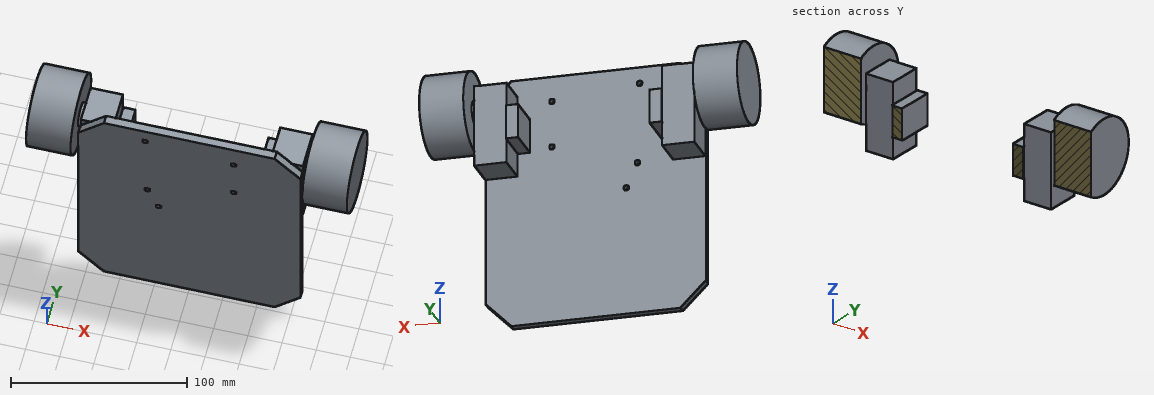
import cadquery as cq

LEFT, RIGHT = -1, 1

overall_width = 187.8
wheel_diameter = 48.0
wheel_width = 26.1
hub_diameter = 13.9
wheel_outer_x = overall_width / 2
wheel_inner_x = wheel_outer_x - wheel_width

plate_width = 130.0
plate_height = 150.0
plate_thickness = 5.0
plate_corner = 15.0
plate_bottom_z = -127.9
plate_back_y = -12.2
plate_front_y = plate_back_y - plate_thickness
plate_center_z = plate_bottom_z + plate_height / 2

hole_diameter = 3.0
hole_centers = [(-26.0, 12.4), (26.0, 7.1), (26.0, -20.7), (-24.6, -36.0), (-18.0, -50.7)]

motor_outer_x = plate_width / 2
motor_length = 19.0
motor_depth = 22.5
motor_top_z = 11.6
motor_height = 48.6
motor_center_z = motor_top_z - motor_height / 2
motor_inner_x = motor_outer_x - motor_length
mount_length = 7.1
mount_height = 20.3
mount_depth = -2 * plate_back_y
mount_inner_x = motor_inner_x - mount_length


def block(side, inner_x, outer_x, depth, height):
    """Box centred on Y = 0 at the motor's mid height, on one side of the assembly."""
    center_x = side * (inner_x + outer_x) / 2
    return (
        cq.Workplane("XY")
        .box(outer_x - inner_x, depth, height)
        .translate((center_x, 0, motor_center_z))
    )


def disc(side, inner_x, outer_x, diameter):
    """Cylinder on the wheel axis, on one side of the assembly."""
    return (
        cq.Workplane("YZ", origin=(side * inner_x, 0, 0))
        .circle(diameter / 2)
        .extrude(side * (outer_x - inner_x))
    )


def make_plate():
    plate = (
        cq.Workplane("XY")
        .box(plate_width, plate_thickness, plate_height)
        .edges("|Y")
        .chamfer(plate_corner)
        .translate((0, plate_back_y - plate_thickness / 2, plate_center_z))
    )
    holes = (
        cq.Workplane("XZ", origin=(0, plate_back_y, 0))
        .pushPoints(hole_centers)
        .circle(hole_diameter / 2)
        .extrude(plate_back_y - plate_front_y)
    )
    return plate.cut(holes)


def make_motor(side):
    gearbox = block(side, motor_inner_x, motor_outer_x, motor_depth, motor_height)
    mount = block(side, mount_inner_x, motor_inner_x, mount_depth, mount_height)
    return gearbox.union(mount)


def make_wheel(side):
    tread = disc(side, wheel_inner_x, wheel_outer_x, wheel_diameter)
    hub = disc(side, motor_outer_x, wheel_inner_x, hub_diameter)
    return tread.union(hub)


plate = make_plate()
motors = [make_motor(side) for side in (LEFT, RIGHT)]
wheels = [make_wheel(side) for side in (LEFT, RIGHT)]

result = cq.Compound.makeCompound(
    [plate.val()]
    + [motor.val() for motor in motors]
    + [wheel.val() for wheel in wheels]
)